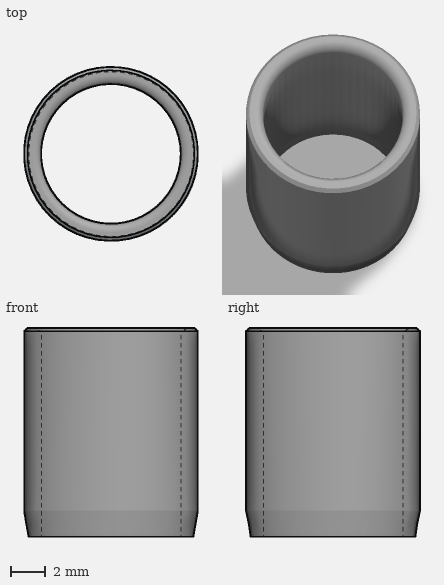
import cadquery as cq
import math

height = 12.0
outer_diameter = 10.0
bore_diameter = 8.0
outer_radius = outer_diameter / 2
bore_radius = bore_diameter / 2

rim_chamfer = 0.2
mouth_radius = 0.5

taper_height = 1.5
taper_angle = 10.0
taper_inset = taper_height * math.tan(math.radians(taper_angle))


def wall_section():
    """Half section of the wall: local x is the radius, local y is the height."""
    round_offset = mouth_radius * (1 - math.cos(math.radians(45)))
    round_middle = (bore_radius + round_offset, height - round_offset)
    return (
        cq.Workplane("XZ")
        .moveTo(bore_radius, 0)
        .lineTo(outer_radius - taper_inset, 0)
        .lineTo(outer_radius, taper_height)
        .lineTo(outer_radius, height - rim_chamfer)
        .lineTo(outer_radius - rim_chamfer, height)
        .lineTo(bore_radius + mouth_radius, height)
        .threePointArc(round_middle, (bore_radius, height - mouth_radius))
        .close()
    )


result = wall_section().revolve(360, (0, 0, 0), (0, 1, 0))